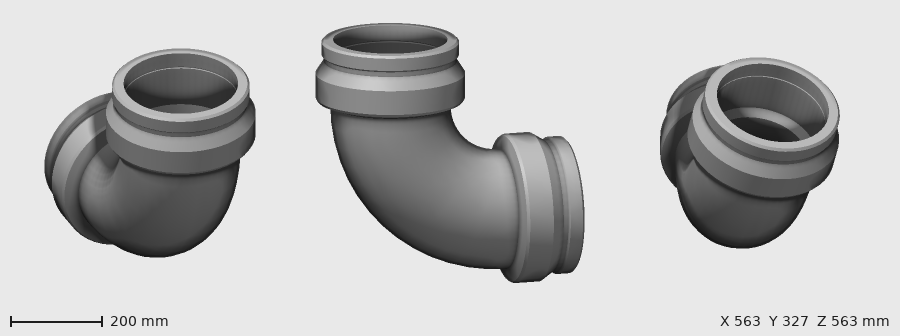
import cadquery as cq

overall_length = 563.0
collar_diameter = 327.0
socket_length = 145.0
axis_to_mouth = overall_length - collar_diameter / 2
bend_radius = axis_to_mouth - socket_length

pipe_diameter = 262.5
pipe_bore = 218.0

lip_diameter = 300.5
lip_chamfer = 5.0
lip_end = 32.5
neck_diameter = 291.5
neck_start = 36.5
neck_end = 47.5

collar_start = 75.0
collar_end = 128.5
collar_bevel_length = 6.0
shoulder_diameter = 320.0

mouth_bore = 250.0
groove_start = 34.5
groove_width = 4.0
bore_cone_start = 130.5


def make_socket():
    """Turn a hollow socket about Z, from the pipe end up to the mouth face."""
    lip_radius = lip_diameter / 2
    bore_radius = mouth_bore / 2
    groove_end = groove_start + groove_width

    def height(depth):
        return axis_to_mouth - bend_radius - depth

    profile = (
        cq.Workplane("XZ")
        .moveTo(pipe_bore / 2, height(socket_length))
        .lineTo(pipe_diameter / 2, height(socket_length))
        .lineTo(shoulder_diameter / 2, height(collar_end + collar_bevel_length))
        .lineTo(collar_diameter / 2, height(collar_end))
        .lineTo(collar_diameter / 2, height(collar_start))
        .lineTo(neck_diameter / 2, height(neck_end))
        .lineTo(neck_diameter / 2, height(neck_start))
        .lineTo(lip_radius, height(lip_end))
        .lineTo(lip_radius, height(lip_chamfer))
        .lineTo(lip_radius - lip_chamfer, height(0))
        .lineTo(bore_radius, height(0))
        .lineTo(bore_radius, height(groove_start))
        .threePointArc(
            (bore_radius + groove_width / 2, height(groove_start + groove_width / 2)),
            (bore_radius, height(groove_end)),
        )
        .lineTo(bore_radius, height(bore_cone_start))
        .close()
    )
    return profile.revolve(360, (0, 0, 0), (0, 1, 0))


def make_bend():
    """Sweep the pipe ring a quarter turn, from the lower arm to the upright arm."""
    ring = (
        cq.Workplane("XY")
        .center(bend_radius, 0)
        .circle(pipe_diameter / 2)
        .circle(pipe_bore / 2)
    )
    return ring.revolve(90, (-bend_radius, 0, 0), (-bend_radius, 1, 0))


socket = make_socket()
upright_socket = socket.translate((bend_radius, 0, 0))
level_socket = socket.rotate((0, 0, 0), (0, 1, 0), -90).translate((0, 0, -bend_radius))

result = make_bend().union(upright_socket).union(level_socket)